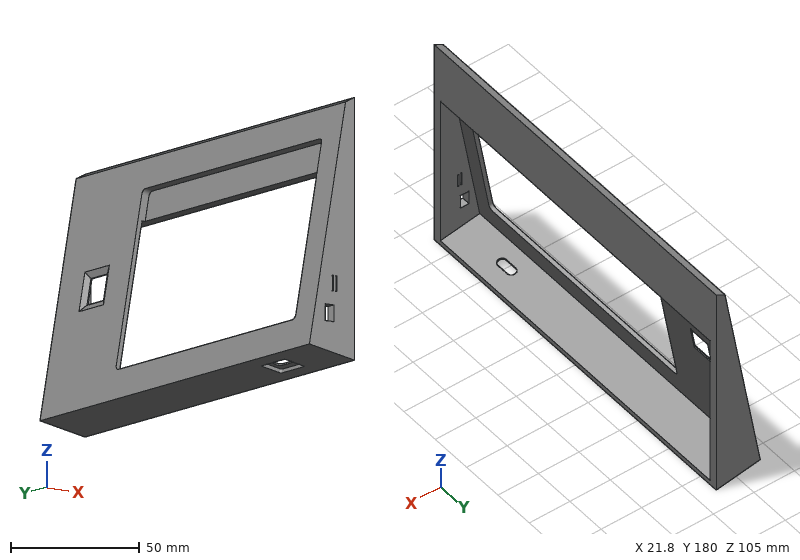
import cadquery as cq
import math

width = 180.0
base_depth = 21.8
height = 105.0
tilt = math.radians(10)
face_height = 100.3

face_thickness = 2.0
floor_thickness = 2.3
side_wall = 4.0
cavity_top = 75.2

window_width = 119.9
window_height = 74.9
window_bottom = 12.6
window_margin = 12.6
window_radius = 2.0
window_depth = 3.5

button_outer = 16.4
button_inner = 11.0
button_taper_depth = 1.5
button_margin = 24.1
button_height = 50.5

port_margin = 33.0
port_depth = 11.2
port_length = 10.5
port_width = 4.1
recess_length = 15.8
recess_width = 9.7
recess_depth = 1.6
recess_radius = 0.7

side_hole_size = (4.1, 6.7)
side_hole_center = (9.7, 13.7)
side_slot_size = (0.5, 6.1)
side_slot_centers = [(11.3, 25.7), (13.0, 25.7)]

sin_tilt = math.sin(tilt)
cos_tilt = math.cos(tilt)
bottom_drop = base_depth * sin_tilt / cos_tilt
half_width = width / 2
overlap = 1.8

face = cq.Plane(origin=(0, 0, 0), xDir=(0, -1, 0), normal=(-cos_tilt, 0, sin_tilt))
bottom = cq.Plane(origin=(0, 0, 0), xDir=(0, -1, 0), normal=(-sin_tilt, 0, -cos_tilt))


def face_point(up, depth):
    """World (x, z) of a point at a height up the face and a depth behind it."""
    return (up * sin_tilt + depth * cos_tilt, up * cos_tilt - depth * sin_tilt)


def wedge():
    return (
        cq.Workplane("XZ", origin=(0, half_width, 0))
        .polyline(
            [
                (0, 0),
                (base_depth, -bottom_drop),
                (base_depth, height - bottom_drop),
                (face_height * sin_tilt, face_height * cos_tilt),
            ]
        )
        .close()
        .extrude(width)
    )


def cavity():
    """Hollow open at the back, with a floor parallel to the bottom and a level ceiling."""
    ceiling = face_point(cavity_top, window_depth)[1]
    front_top = (ceiling * sin_tilt + face_thickness) / cos_tilt
    open_back = 2 * base_depth
    floor_front = face_point(floor_thickness, face_thickness)
    floor_back = face_point(floor_thickness, open_back)
    return (
        cq.Workplane("XZ", origin=(0, half_width - side_wall, 0))
        .polyline([floor_front, floor_back, (open_back, ceiling), (front_top, ceiling)])
        .close()
        .extrude(width - 2 * side_wall)
    )


def window():
    return (
        cq.Workplane(face)
        .workplane(offset=-window_depth)
        .center(half_width - window_margin - window_width / 2, window_bottom + window_height / 2)
        .rect(window_width, window_height)
        .extrude(window_depth + overlap)
        .edges(cq.selectors.ParallelDirSelector(face.zDir))
        .fillet(window_radius)
    )


def button_hole():
    outside = cq.Workplane(face).center(button_margin - half_width, button_height)
    straight = outside.rect(button_inner, button_inner).extrude(-face_thickness - overlap)
    taper = (
        outside.rect(button_outer, button_outer)
        .workplane(offset=-button_taper_depth)
        .rect(button_inner, button_inner)
        .loft()
    )
    return taper.union(straight)


def port():
    start = cq.Workplane(bottom).center(half_width - port_margin, -port_depth)
    recess = (
        start.rect(recess_length, recess_width)
        .extrude(-recess_depth)
        .edges(cq.selectors.ParallelDirSelector(bottom.zDir))
        .fillet(recess_radius)
    )
    slot = start.slot2D(port_length, port_width).extrude(-floor_thickness - overlap)
    return recess.union(slot)


def side_openings():
    plane = cq.Workplane("XZ", origin=(0, -half_width, 0))
    depth = -side_wall - overlap
    hole = plane.center(*side_hole_center).rect(*side_hole_size).extrude(depth)
    slots = plane.pushPoints(side_slot_centers).rect(*side_slot_size).extrude(depth)
    return hole.union(slots)


result = wedge()
for cut in (cavity(), window(), button_hole(), port(), side_openings()):
    result = result.cut(cut)